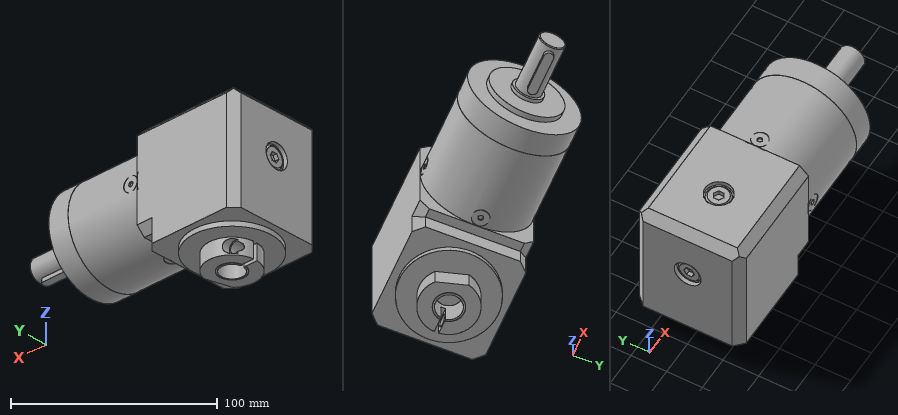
import cadquery as cq
import math


housing_width = 60.0
half_width = housing_width / 2
upper_length = 65.0
lower_length = housing_width
housing_bottom_z = -39.5
housing_chamfer = 5.0
input_x = lower_length / 2

barrel_end_x = 124.5
barrel_diameter = 59.8
end_ring_start_x = 111.5
end_ring_diameter = housing_width
pilot_diameter = 40.0
pilot_length = 3.0
collar_diameter = 17.0
collar_length = 2.0
shaft_diameter = 14.0
shaft_length = 30.0
shaft_chamfer = 0.5
pilot_end_x = barrel_end_x + pilot_length
collar_end_x = pilot_end_x + collar_length
shaft_end_x = collar_end_x + shaft_length

key_width = 5.0
key_length = 25.0
key_height = 5.0
key_protrusion = 2.0
key_bottom_z = -(shaft_diameter / 2 + key_protrusion)
key_center_x = collar_end_x + shaft_length / 2

side_plug_x = 69.7
side_plug_diameter = 9.0
side_plug_floor_radius = 29.6
side_plug_hole_diameter = 2.7
side_plug_hole_depth = 1.0

plug_recess_diameter = 15.0
plug_recess_depth = 2.5
plug_head_diameter = 13.2
plug_head_height = 1.1
plug_chamfer = 1.0
hex_across_flats = 5.0
hex_depth = 2.5

input_flange_diameter = 52.0
input_flange_thickness = 3.0
hub_diameter = 31.2
hub_radius = hub_diameter / 2
hub_length = 10.0
lip_diameter = 16.2
lip_height = 0.3
input_bore_diameter = 14.0
flange_bottom_z = housing_bottom_z - input_flange_thickness
hub_bottom_z = flange_bottom_z - hub_length
lip_bottom_z = hub_bottom_z - lip_height

slit_width = 2.4
flat_distance = 13.2
flat_angle = -16.0
screw_offset_x = -11.0
screw_hole_diameter = 6.6
screw_head_diameter = 8.3
screw_head_seat_y = 9.1
screw_z = (flange_bottom_z + hub_bottom_z) / 2


def cylinder_x(diameter, start_x, end_x):
    """Cylinder on the output axis between two X positions."""
    return cq.Workplane("YZ", origin=(start_x, 0, 0)).circle(diameter / 2).extrude(end_x - start_x)


def cylinder_z(diameter, bottom_z, top_z):
    """Cylinder on the input axis between two Z positions."""
    return cq.Workplane("XY", origin=(input_x, 0, bottom_z)).circle(diameter / 2).extrude(top_z - bottom_z)


def cylinder_y(diameter, x, z, start_y, end_y):
    """Cylinder along Y between two Y positions."""
    plane = cq.Plane(origin=(x, start_y, z), xDir=(1, 0, 0), normal=(0, 1, 0))
    return cq.Workplane(plane).circle(diameter / 2).extrude(end_y - start_y)


def beveled_box(length, bottom_z, bevels):
    """Box from X = 0 up to the housing top; each bevel set is mitred into the others."""
    box = (
        cq.Workplane("XY", origin=(0, 0, bottom_z))
        .box(length, housing_width, half_width - bottom_z, centered=(False, True, False))
    )
    beveled = box
    for edges in bevels:
        beveled = beveled.intersect(box.edges(edges).chamfer(housing_chamfer))
    return beveled


def make_housing():
    """L-shaped block: a long upper box and a shorter box reaching further down."""
    rear_top_edge = "|Y and <X and >Z"
    upper = beveled_box(upper_length, -half_width, ("|X", "|Z and <X", rear_top_edge))
    lower = beveled_box(lower_length, housing_bottom_z, ("|X and >Z", "|Z", rear_top_edge))
    return upper.union(lower)


def make_output():
    """Barrel with end ring, centring pilot, collar and keyed shaft along X."""
    shaft = cylinder_x(shaft_diameter, collar_end_x, shaft_end_x).faces(">X").chamfer(shaft_chamfer)
    key = (
        cq.Workplane("XY", origin=(key_center_x, 0, key_bottom_z))
        .slot2D(key_length, key_width)
        .extrude(key_height)
    )
    return (
        cylinder_x(barrel_diameter, upper_length, end_ring_start_x)
        .union(cylinder_x(end_ring_diameter, end_ring_start_x, barrel_end_x))
        .union(cylinder_x(pilot_diameter, barrel_end_x, pilot_end_x))
        .union(cylinder_x(collar_diameter, pilot_end_x, collar_end_x))
        .union(shaft)
        .union(key)
    )


def cut_side_plugs(body):
    """Four flat-bottomed spot faces with a small centre hole, spaced around the barrel."""
    spot_face = (
        cq.Workplane("XY", origin=(side_plug_x, 0, side_plug_floor_radius))
        .circle(side_plug_diameter / 2)
        .extrude(barrel_diameter / 2 - side_plug_floor_radius)
    )
    center_hole = (
        cq.Workplane("XY", origin=(side_plug_x, 0, side_plug_floor_radius))
        .circle(side_plug_hole_diameter / 2)
        .extrude(-side_plug_hole_depth)
    )
    cutter = spot_face.union(center_hole)
    for angle in (0, 90, 180, 270):
        body = body.cut(cutter.rotate((0, 0, 0), (1, 0, 0), angle))
    return body


def cut_socket_plug(body, plane):
    """Recess holding a chamfered plug head with a hexagon socket; the plane faces outward."""
    recess = cq.Workplane(plane).circle(plug_recess_diameter / 2).extrude(-plug_recess_depth)
    head = (
        cq.Workplane(plane)
        .workplane(offset=-plug_recess_depth)
        .circle(plug_head_diameter / 2)
        .extrude(plug_head_height)
        .faces(cq.selectors.DirectionMinMaxSelector(plane.zDir))
        .chamfer(plug_chamfer)
    )
    hex_socket = (
        cq.Workplane(plane)
        .workplane(offset=plug_head_height - plug_recess_depth)
        .polygon(6, hex_across_flats / math.cos(math.pi / 6))
        .extrude(-hex_depth)
    )
    return body.cut(recess).union(head).cut(hex_socket)


def make_input():
    """Input flange with a slit clamping hub and a thin lip around the bore."""
    hub = cylinder_z(hub_diameter, hub_bottom_z, flange_bottom_z)
    flat_cutter = (
        cq.Workplane("XY", origin=(flat_distance, 0, hub_bottom_z))
        .box(hub_radius, hub_diameter, hub_length, centered=(False, True, False))
        .rotate((0, 0, 0), (0, 0, 1), flat_angle)
        .translate((input_x, 0, 0))
    )
    lip = cylinder_z(lip_diameter, lip_bottom_z, hub_bottom_z)
    slit = (
        cq.Workplane("XY", origin=(input_x - hub_diameter, 0, lip_bottom_z))
        .box(hub_diameter, slit_width, flange_bottom_z - lip_bottom_z, centered=(False, True, False))
    )
    screw_x = input_x + screw_offset_x
    screw_hole = cylinder_y(screw_hole_diameter, screw_x, screw_z, 0, hub_radius)
    screw_head = cylinder_y(screw_head_diameter, screw_x, screw_z, screw_head_seat_y, hub_radius)
    bore = cylinder_z(input_bore_diameter, lip_bottom_z, housing_bottom_z)
    flange = cylinder_z(input_flange_diameter, flange_bottom_z, housing_bottom_z)
    clamp = hub.cut(flat_cutter).union(lip).cut(slit).cut(screw_hole).cut(screw_head)
    return flange.union(clamp).cut(bore)


top_plug_plane = cq.Plane(origin=(input_x, 0, half_width), xDir=(0, 1, 0), normal=(0, 0, 1))
rear_plug_plane = cq.Plane(origin=(0, 0, 0), xDir=(0, 1, 0), normal=(-1, 0, 0))

gearbox = make_housing().union(cut_side_plugs(make_output()))
for plug_plane in (top_plug_plane, rear_plug_plane):
    gearbox = cut_socket_plug(gearbox, plug_plane)
result = gearbox.union(make_input())